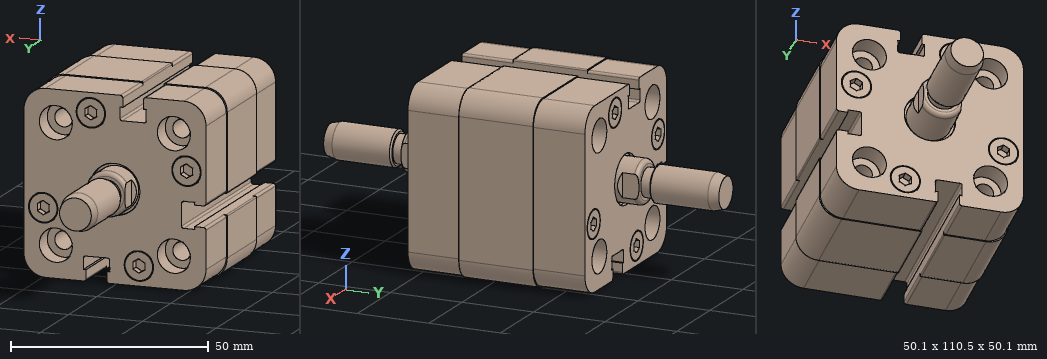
import cadquery as cq
import math

total_length = 110.5
body_length = 49.5
tube_length = 20.8
front_reach = 33.0
rear_reach = total_length - body_length - front_reach
half_body = body_length / 2

tube_side = 50.1
cap_side = 49.5
corner_radius = 6.0

slot_offset = 5.0
slot_mouth_width = 5.6
slot_inner_width = 7.1
slot_floor = 18.1
slot_lip = 21.7
slot_floor_radius = 0.5
cap_lip_radius = 0.7
tube_lip_radius = 0.3
slot_angles = (0, 90, 180)

mount_offset = 16.0
mount_diameter = 4.9
mount_counterbore_diameter = 9.0
mount_counterbore_depth = 5.6

screw_offset_across = 6.5
screw_offset_out = 19.5
screw_recess_diameter = 8.0
screw_head_diameter = 7.5
screw_recess_depth = 4.4
hex_across_flats = 3.2
hex_depth = 2.2

bearing_diameter = 13.6
bearing_depth = 1.1
rod_diameter = 12.0
thread_diameter = 10.1
tip_diameter = 8.6
neck_diameter = 7.8
thread_end_diameter = 9.0
tip_chamfer_length = 2.8
thread_end = 18.8
neck_start = 19.2
shoulder = 22.0
shoulder_radius = 1.2
flats_width = 10.1
flats_length = 4.5


def square_prism(side, length):
    """Rounded square bar centred on the Y axis."""
    return (
        cq.Workplane("XZ")
        .rect(side, side)
        .extrude(length / 2, both=True)
        .edges("|Y")
        .fillet(corner_radius)
    )


def corner_inset(radius):
    """Distance from a square corner to the middle of its rounding, along each side."""
    return radius * (1 - math.sqrt(0.5))


def slot_cutter(side, lip_radius, length):
    """T-slot in the +Z face, with rounded lips and floor corners."""
    outer = side / 2
    half_mouth = slot_mouth_width / 2
    half_inner = slot_inner_width / 2
    half_lip = half_mouth + lip_radius
    lip_arc = corner_inset(lip_radius)
    floor_arc = corner_inset(slot_floor_radius)
    half_floor = half_inner - slot_floor_radius
    return (
        cq.Workplane("XZ", origin=(-slot_offset, 0, 0))
        .moveTo(-half_lip, outer)
        .threePointArc((-half_mouth - lip_arc, outer - lip_arc), (-half_mouth, outer - lip_radius))
        .lineTo(-half_mouth, slot_lip)
        .lineTo(-half_inner, slot_lip)
        .lineTo(-half_inner, slot_floor + slot_floor_radius)
        .threePointArc((-half_inner + floor_arc, slot_floor + floor_arc), (-half_floor, slot_floor))
        .lineTo(half_floor, slot_floor)
        .threePointArc((half_inner - floor_arc, slot_floor + floor_arc),
                       (half_inner, slot_floor + slot_floor_radius))
        .lineTo(half_inner, slot_lip)
        .lineTo(half_mouth, slot_lip)
        .lineTo(half_mouth, outer - lip_radius)
        .threePointArc((half_mouth + lip_arc, outer - lip_arc), (half_lip, outer))
        .close()
        .extrude(length / 2, both=True)
    )


def slotted_bar(side, lip_radius, length):
    """Body bar with a T-slot in the +Z, -X and -Z faces."""
    bar = square_prism(side, length)
    cutter = slot_cutter(side, lip_radius, length)
    for angle in slot_angles:
        bar = bar.cut(cutter.rotate((0, 0, 0), (0, 1, 0), -angle))
    return bar


def cylinder(diameter, depth):
    """Round plug on the axis, reaching from the -Y end face into the body."""
    return cq.Workplane("XZ", origin=(0, -half_body, 0)).circle(diameter / 2).extrude(-depth)


def screw_recess():
    """Ring gap around a screw head plus its hexagon socket."""
    ring = cylinder(screw_recess_diameter, screw_recess_depth)
    ring = ring.cut(cylinder(screw_head_diameter, screw_recess_depth))
    hex_across_corners = hex_across_flats / math.cos(math.pi / 6)
    socket = (
        cq.Workplane("XZ", origin=(0, -half_body, 0))
        .polygon(6, hex_across_corners)
        .extrude(-hex_depth)
        .rotate((0, 0, 0), (0, 1, 0), 30)
    )
    return ring.union(socket)


def end_face_cutter():
    """All recesses of the -Y end face, with mounting holes to mid-length."""
    mount = cylinder(mount_diameter, half_body)
    mount = mount.union(cylinder(mount_counterbore_diameter, mount_counterbore_depth))
    mount = mount.translate((mount_offset, 0, mount_offset))
    screw = screw_recess()
    cutter = cylinder(bearing_diameter, bearing_depth)
    for quarter in range(4):
        turn = math.radians(90 * quarter)
        x = screw_offset_across * math.cos(turn) - screw_offset_out * math.sin(turn)
        z = screw_offset_across * math.sin(turn) + screw_offset_out * math.cos(turn)
        cutter = cutter.union(screw.translate((x, 0, z)))
        cutter = cutter.union(mount.rotate((0, 0, 0), (0, 1, 0), 90 * quarter))
    return cutter


def rod(reach):
    """Threaded rod end pointing to -Y, from mid-body to its tip."""
    tip = -half_body - reach
    rod_radius = rod_diameter / 2
    arc = corner_inset(shoulder_radius)
    turned = (
        cq.Workplane("XY")
        .moveTo(0, tip)
        .lineTo(tip_diameter / 2, tip)
        .lineTo(thread_diameter / 2, tip + tip_chamfer_length)
        .lineTo(thread_diameter / 2, tip + thread_end)
        .lineTo(thread_end_diameter / 2, tip + neck_start)
        .lineTo(neck_diameter / 2, tip + neck_start)
        .lineTo(neck_diameter / 2, tip + shoulder)
        .lineTo(rod_radius - shoulder_radius, tip + shoulder)
        .threePointArc((rod_radius - arc, tip + shoulder + arc),
                       (rod_radius, tip + shoulder + shoulder_radius))
        .lineTo(rod_radius, 0)
        .lineTo(0, 0)
        .close()
        .revolve(360, (0, 0, 0), (0, 1, 0))
    )
    half_flats = flats_width / 2
    flat_depth = rod_radius - half_flats
    flat_end = tip + shoulder + flats_length
    flat = (
        cq.Workplane("XY")
        .moveTo(half_flats, tip + shoulder)
        .lineTo(rod_radius, tip + shoulder)
        .lineTo(rod_radius, flat_end + flat_depth)
        .lineTo(half_flats, flat_end)
        .close()
        .extrude(rod_radius, both=True)
    )
    return turned.cut(flat).cut(flat.mirror("YZ"))


body = slotted_bar(cap_side, cap_lip_radius, body_length)
tube = slotted_bar(tube_side, tube_lip_radius, tube_length)
tube_zone = cq.Workplane("XY").box(tube_side, tube_length, tube_side)
body = body.cut(tube_zone).union(tube)

front_cutter = end_face_cutter()
body = body.cut(front_cutter).cut(front_cutter.mirror("XZ"))

result = body.union(rod(front_reach)).union(rod(rear_reach).mirror("XZ"))